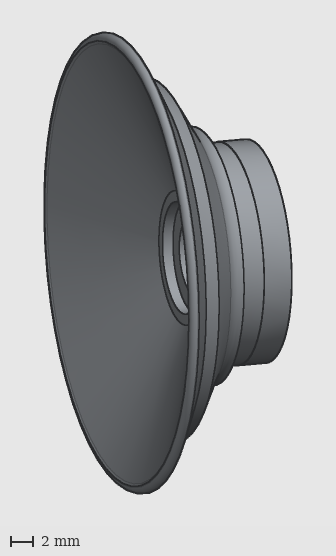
import cadquery as cq


hub_length = 5.0
collar_radius = 9.95
collar_length = 2.6
neck_radius = 9.92

total_depth = 13.0
shoulder_radius = 11.52
flare_start_radius = 12.4
flare_start_depth = 6.55
flare_sag = 0.25
step_rear_radius = 16.25
step_rear_depth = 8.95
step_front_radius = 17.0
step_front_depth = 10.4

rim_radius = 20.5
rim_depth = 12.4
rim_land = 0.12
bead_radius = total_depth - rim_depth
lip_radius = 19.8
lip_edge_radius = 19.55
lip_edge_depth = 12.87

floor_radius = 6.0
floor_depth = 7.0
counterbore_radius = 5.0
counterbore_depth = 1.0
bore_radius = 3.3
rear_bore_radius = 3.32
rear_bore_depth = 2.05


def cup_profile():
    """Half section of the hub and cup: x is the radius, y is the axis."""
    flare_mid_radius = (shoulder_radius + flare_start_radius) / 2 - flare_sag
    flare_mid_depth = (hub_length + flare_start_depth) / 2
    return (
        cq.Workplane("XY")
        .lineTo(collar_radius, 0)
        .lineTo(collar_radius, -collar_length)
        .lineTo(neck_radius, -collar_length)
        .lineTo(neck_radius, -hub_length)
        .lineTo(shoulder_radius, -hub_length)
        .threePointArc((flare_mid_radius, -flare_mid_depth), (flare_start_radius, -flare_start_depth))
        .lineTo(step_rear_radius, -step_rear_depth)
        .lineTo(step_front_radius, -step_front_depth)
        .lineTo(rim_radius, -(rim_depth - rim_land))
        .lineTo(rim_radius, -rim_depth)
        .radiusArc((rim_radius - bead_radius, -total_depth), bead_radius)
        .lineTo(lip_radius, -total_depth)
        .lineTo(lip_edge_radius, -lip_edge_depth)
        .lineTo(floor_radius, -floor_depth)
        .lineTo(0, -floor_depth)
        .close()
    )


def round_cut(radius, start_depth, end_depth):
    """Cylinder on the part axis between two depths."""
    return (
        cq.Workplane("XZ", origin=(0, -start_depth, 0))
        .circle(radius)
        .extrude(end_depth - start_depth)
    )


body = cup_profile().revolve(360, (0, 0, 0), (0, 1, 0))
result = (
    body.cut(round_cut(bore_radius, 0, floor_depth))
    .cut(round_cut(rear_bore_radius, 0, rear_bore_depth))
    .cut(round_cut(counterbore_radius, floor_depth - counterbore_depth, floor_depth))
)